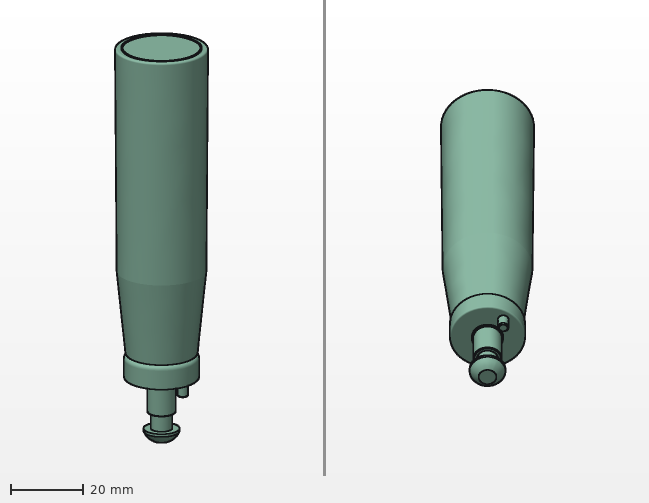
import cadquery as cq

HEAD_EDGE_Z = 2.7
HEAD_TOP_Z = 3.5
NECK_TOP_Z = 8.2
PIN_TIP_Z = 14.5
COLLAR_BOTTOM_Z = 18.3
GRIP_BOTTOM_Z = 25.4
GRIP_KNEE_Z = 49.8
GRIP_TOP_Z = 115.3

GRIP_TOP_DIAMETER = 26.0
GRIP_KNEE_DIAMETER = 25.0
GRIP_BOTTOM_DIAMETER = 20.1
GRIP_TOP_FILLET = 0.6
GRIP_BOTTOM_FILLET = 0.6

CAP_DIAMETER = 22.0
CAP_CHAMFER = 0.2
CAP_THICKNESS = 2.3
RECESS_CHAMFER = 0.2

COLLAR_DIAMETER = 21.0
COLLAR_TOP_FILLET = 1.4
COLLAR_BOTTOM_FILLET = 0.5

STUD_DIAMETER = 8.0
STUD_CHAMFER = 0.2
STUD_BOSS_DIAMETER = 8.8
STUD_BOSS_HEIGHT = 0.3
NECK_DIAMETER = 6.0
HEAD_DIAMETER = 10.0
HEAD_TIP_DIAMETER = 5.0
HEAD_DOME_BULGE = 0.3

PIN_DIAMETER = 3.0
PIN_CHAMFER = 0.3
PIN_OFFSET = 7.5


def cylinder(diameter, bottom_z, top_z):
    """Solid cylinder on the Z axis between two heights."""
    return cq.Workplane("XY").workplane(offset=bottom_z).circle(diameter / 2).extrude(top_z - bottom_z)


def make_grip():
    """Tapered sleeve, bored for the spindle and recessed for its end cap."""
    body = (
        cq.Workplane("XZ")
        .moveTo(0, GRIP_BOTTOM_Z)
        .lineTo(GRIP_BOTTOM_DIAMETER / 2, GRIP_BOTTOM_Z)
        .lineTo(GRIP_KNEE_DIAMETER / 2, GRIP_KNEE_Z)
        .lineTo(GRIP_TOP_DIAMETER / 2, GRIP_TOP_Z)
        .lineTo(0, GRIP_TOP_Z)
        .close()
        .revolve(360, (0, 0, 0), (0, 1, 0))
    )
    body = body.faces(">Z").edges().fillet(GRIP_TOP_FILLET)
    body = body.faces("<Z").edges().fillet(GRIP_BOTTOM_FILLET)
    bore = cylinder(STUD_DIAMETER, GRIP_BOTTOM_Z, GRIP_TOP_Z)
    recess = cylinder(CAP_DIAMETER, GRIP_TOP_Z - CAP_THICKNESS, GRIP_TOP_Z)
    body = body.cut(bore).cut(recess)
    return body.faces(">Z").edges(cq.selectors.RadiusNthSelector(0)).chamfer(RECESS_CHAMFER)


def make_head():
    """Mushroom head: short rim above a domed underside with a flat tip."""
    head_radius = HEAD_DIAMETER / 2
    tip_radius = HEAD_TIP_DIAMETER / 2
    return (
        cq.Workplane("XZ")
        .lineTo(tip_radius, 0)
        .sagittaArc((head_radius, HEAD_EDGE_Z), -HEAD_DOME_BULGE)
        .lineTo(head_radius, HEAD_TOP_Z)
        .lineTo(0, HEAD_TOP_Z)
        .close()
        .revolve(360, (0, 0, 0), (0, 1, 0))
    )


def make_collar():
    collar = cylinder(COLLAR_DIAMETER, COLLAR_BOTTOM_Z, GRIP_BOTTOM_Z)
    collar = collar.faces(">Z").edges().fillet(COLLAR_TOP_FILLET)
    return collar.faces("<Z").edges().fillet(COLLAR_BOTTOM_FILLET)


def make_pin():
    pin = cylinder(PIN_DIAMETER, PIN_TIP_Z, COLLAR_BOTTOM_Z).faces("<Z").edges().chamfer(PIN_CHAMFER)
    return pin.translate((PIN_OFFSET, 0, 0))


def make_spindle():
    """Core that runs from the mushroom head through collar and grip to the end cap."""
    rod = cylinder(STUD_DIAMETER, NECK_TOP_Z, GRIP_TOP_Z).faces("<Z").edges().chamfer(STUD_CHAMFER)
    neck = cylinder(NECK_DIAMETER, HEAD_TOP_Z, NECK_TOP_Z)
    boss = cylinder(STUD_BOSS_DIAMETER, COLLAR_BOTTOM_Z - STUD_BOSS_HEIGHT, COLLAR_BOTTOM_Z)
    cap = cylinder(CAP_DIAMETER, GRIP_TOP_Z - CAP_THICKNESS, GRIP_TOP_Z)
    cap = cap.faces(">Z").edges().chamfer(CAP_CHAMFER)
    return rod.union(neck).union(make_head()).union(boss).union(make_collar()).union(make_pin()).union(cap)


grip = make_grip()
spindle = make_spindle()

result = cq.Compound.makeCompound([grip.val(), spindle.val()])